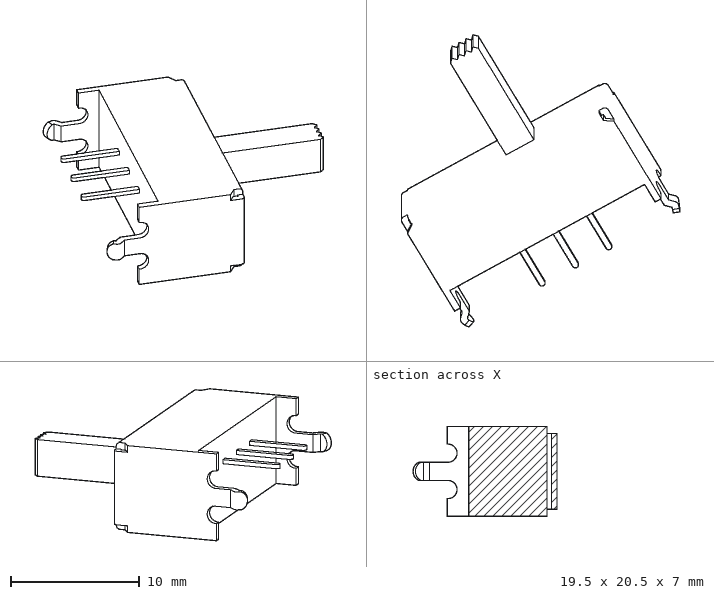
import cadquery as cq
import math

BODY_LENGTH = 18.53
BODY_DEPTH = 6.89
BODY_HEIGHT = 7.0
WALL = 0.53
BACK_WALL = 0.45
BACK_EDGE_RADIUS = 0.33
HALF_LENGTH = BODY_LENGTH / 2
HALF_HEIGHT = BODY_HEIGHT / 2

RELIEF_WIDTH = 0.68
RELIEF_INNER_DEPTH = 0.74
RELIEF_OUTER_DEPTH = 1.19

LEVER_X = -1.52
LEVER_WIDTH = 2.5
LEVER_HEIGHT = 2.95
LEVER_TIP_Y = 15.87
TOOTH_COUNT = 4
TOOTH_PITCH = LEVER_WIDTH / TOOTH_COUNT
TOOTH_DEPTH = TOOTH_PITCH / 2

PIN_PITCH = 3.0
PIN_WIDTH = 0.5
PIN_THICKNESS = 0.33
PIN_LENGTH = 20.5 - LEVER_TIP_Y
PIN_Z = 1.23

SKIRT_LENGTH = 1.66
NOTCH_RADIUS = 0.7
NOTCH_INSET = 0.06
TAB_WIDTH = 1.44
TAB_BEND_Y = -2.85
TAB_INNER_BEND_Y = -3.05
TAB_ELBOW_START = (9.6, -3.18)
TAB_ELBOW_MIDDLE = (9.72, -3.36)
TAB_ELBOW_END = (9.74, -3.55)
TAB_TIP_ROOT = (9.68, -3.71)
TAB_TIP_LENGTH = 0.65
TAB_TIP_STRAIGHT = 0.16
TAB_TIP_TILT = math.radians(21)


def mirrored_in_x(shape):
    return shape.union(shape.mirror("YZ"))


def make_relief():
    """Full-height prism with the outline of the +X back corner opening."""
    inner_x = HALF_LENGTH - RELIEF_WIDTH
    outline = [
        (inner_x, BODY_DEPTH),
        (inner_x, BODY_DEPTH - RELIEF_INNER_DEPTH),
        (HALF_LENGTH, BODY_DEPTH - RELIEF_OUTER_DEPTH),
        (HALF_LENGTH, BODY_DEPTH),
    ]
    return cq.Workplane("XY").polyline(outline).close().extrude(HALF_HEIGHT, both=True)


def make_body():
    body = (
        cq.Workplane("XY")
        .box(BODY_LENGTH, BODY_DEPTH, BODY_HEIGHT)
        .translate((0, BODY_DEPTH / 2, 0))
        .faces(">Y").edges().fillet(BACK_EDGE_RADIUS)
    )
    relief = make_relief()

    middle = cq.Workplane("XY").box(2 * BODY_LENGTH, 4 * BODY_DEPTH, BODY_HEIGHT - 2 * WALL)
    corner_openings = relief.cut(middle)

    inside_depth = BODY_DEPTH - BACK_WALL
    inside = (
        cq.Workplane("XY")
        .box(BODY_LENGTH - 2 * WALL, inside_depth, BODY_HEIGHT)
        .translate((0, inside_depth / 2, 0))
    )
    shaft = relief.intersect(inside)
    for cutter in (corner_openings, shaft):
        body = body.cut(cutter).cut(cutter.mirror("YZ"))
    return body


def make_lever():
    left_x = LEVER_X - LEVER_WIDTH / 2
    valley_y = LEVER_TIP_Y - TOOTH_DEPTH
    base_y = BODY_DEPTH - BACK_WALL
    outline = [(left_x, base_y), (left_x, valley_y)]
    for tooth in range(TOOTH_COUNT):
        tooth_x = left_x + tooth * TOOTH_PITCH
        outline.append((tooth_x + TOOTH_PITCH / 2, LEVER_TIP_Y))
        outline.append((tooth_x + TOOTH_PITCH, valley_y))
    outline.append((left_x + LEVER_WIDTH, base_y))
    return cq.Workplane("XY").polyline(outline).close().extrude(LEVER_HEIGHT / 2, both=True)


def make_pin(x):
    """A flat pin, rooted in the housing, whose tip is rounded to a half circle."""
    half_width = PIN_WIDTH / 2
    round_start_y = half_width - PIN_LENGTH
    return (
        cq.Workplane("XY", origin=(x, 0, PIN_Z))
        .moveTo(-half_width, WALL)
        .lineTo(-half_width, round_start_y)
        .threePointArc((0, -PIN_LENGTH), (half_width, round_start_y))
        .lineTo(half_width, WALL)
        .close()
        .extrude(PIN_THICKNESS / 2, both=True)
    )


def make_skirt():
    """The +X end wall in front of the housing, notched on both sides of its tab."""
    inner_x = HALF_LENGTH - WALL
    skirt = (
        cq.Workplane("XY")
        .box(WALL, SKIRT_LENGTH, BODY_HEIGHT)
        .translate((inner_x + WALL / 2, -SKIRT_LENGTH / 2, 0))
    )
    notch_z = TAB_WIDTH / 2 + NOTCH_RADIUS
    notch_y = NOTCH_INSET - SKIRT_LENGTH
    for side in (-1, 1):
        notch = (
            cq.Workplane("YZ", origin=(inner_x, notch_y, side * notch_z))
            .circle(NOTCH_RADIUS)
            .extrude(WALL)
        )
        mouth = (
            cq.Workplane("YZ", origin=(inner_x, notch_y - NOTCH_INSET / 2, side * notch_z))
            .rect(NOTCH_INSET, 2 * NOTCH_RADIUS)
            .extrude(WALL)
        )
        skirt = skirt.cut(notch).cut(mouth)
    return skirt


def make_tab():
    """The +X mounting tab: bent outward, then back in at its rounded tip."""
    inner_x = HALF_LENGTH - WALL
    across_x = math.cos(TAB_TIP_TILT)
    across_y = -math.sin(TAB_TIP_TILT)
    root_x, root_y = TAB_TIP_ROOT
    inner_root = (root_x - WALL * across_x, root_y - WALL * across_y)

    arm = (
        cq.Workplane("XY")
        .moveTo(inner_x, -SKIRT_LENGTH)
        .lineTo(HALF_LENGTH, -SKIRT_LENGTH)
        .lineTo(HALF_LENGTH, TAB_BEND_Y)
        .lineTo(*TAB_ELBOW_START)
        .threePointArc(TAB_ELBOW_MIDDLE, TAB_ELBOW_END)
        .lineTo(*TAB_TIP_ROOT)
        .lineTo(*inner_root)
        .lineTo(inner_x, TAB_INNER_BEND_Y)
        .close()
        .extrude(TAB_WIDTH / 2, both=True)
    )
    tip_plane = cq.Plane(
        origin=(*inner_root, 0),
        xDir=(0, 0, 1),
        normal=(across_x, across_y, 0),
    )
    tip = (
        cq.Workplane(tip_plane)
        .moveTo(-TAB_WIDTH / 2, 0)
        .lineTo(-TAB_WIDTH / 2, TAB_TIP_STRAIGHT)
        .threePointArc((0, TAB_TIP_LENGTH), (TAB_WIDTH / 2, TAB_TIP_STRAIGHT))
        .lineTo(TAB_WIDTH / 2, 0)
        .close()
        .extrude(WALL)
    )
    return arm.union(tip)


result = make_body().union(make_lever())
for pin_index in (-1, 0, 1):
    result = result.union(make_pin(pin_index * PIN_PITCH))
result = result.union(mirrored_in_x(make_skirt().union(make_tab())))